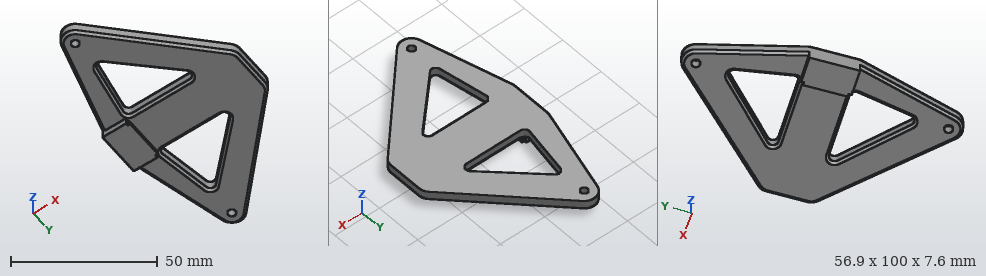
import cadquery as cq
import math

plate_length_x = 56.9
plate_length_y = 100.0
plate_thickness = 4.6
corner_radius = 5.0
bottom_chamfer = 1.0
tip_x = 15.0
tip_y = plate_length_y / 2 - corner_radius
left_corner_y = 8.4
right_corner_y = 7.2
hole_diameter = 3.0

window_radius = 2.0
window_inner_y = 9.0
window_base_y = window_inner_y + window_radius
window_centers = [(12.5, window_base_y), (36.9, window_base_y), (16.1, 31.1)]

total_height = 7.6
block_length = 10.0
block_width = 18.0
lip_reach = 1.0
lip_height = 2.0
lip_end_inset = 1.0


def rounded_polygon(centers, radius, height):
    """Prism around circles centred on a counter-clockwise convex polygon, joined by tangents."""
    tangents = []
    for (x0, y0), (x1, y1) in zip(centers, centers[1:] + centers[:1]):
        length = math.hypot(x1 - x0, y1 - y0)
        normal = ((y1 - y0) / length, -(x1 - x0) / length)
        offset = (radius * normal[0], radius * normal[1])
        start = (x0 + offset[0], y0 + offset[1])
        end = (x1 + offset[0], y1 + offset[1])
        tangents.append((normal, start, end))

    outline = cq.Workplane("XY").moveTo(*tangents[0][1])
    for i, (normal, _, end) in enumerate(tangents):
        next_normal, next_start, _ = tangents[(i + 1) % len(tangents)]
        corner_x, corner_y = centers[(i + 1) % len(centers)]
        middle = (normal[0] + next_normal[0], normal[1] + next_normal[1])
        scale = radius / math.hypot(*middle)
        arc_middle = (corner_x + scale * middle[0], corner_y + scale * middle[1])
        outline = outline.lineTo(*end).threePointArc(arc_middle, next_start)
    return outline.close().extrude(height)


def plate_prism(height):
    """Outer outline of the part, extruded up from Z = 0."""
    left_x = corner_radius
    right_x = plate_length_x - corner_radius
    centers = [
        (tip_x, -tip_y),
        (right_x, -right_corner_y),
        (right_x, right_corner_y),
        (tip_x, tip_y),
        (left_x, left_corner_y),
        (left_x, -left_corner_y),
    ]
    return rounded_polygon(centers, corner_radius, height)


def make_plate():
    """Plate with two mirrored windows, all chamfered along the bottom, and plain tip holes."""
    window = rounded_polygon(window_centers, window_radius, plate_thickness)
    plate = plate_prism(plate_thickness).cut(window).cut(window.mirror("XZ"))
    plate = plate.faces("<Z").chamfer(bottom_chamfer)
    holes = (
        cq.Workplane("XY")
        .pushPoints([(tip_x, -tip_y), (tip_x, tip_y)])
        .circle(hole_diameter / 2)
        .extrude(plate_thickness)
    )
    return plate.cut(holes).translate((0, 0, total_height - plate_thickness))


def make_hook():
    """Block that follows the plate edge, with a sloped lip on its inner face."""
    block = cq.Workplane("XY").box(block_length, block_width, total_height, centered=(False, True, False))
    block = block.intersect(plate_prism(total_height))
    lip_root_x = block_length / 2
    lip_tip = block_length + lip_reach
    lip = (
        cq.Workplane("XZ")
        .polyline([
            (lip_root_x, 0),
            (lip_tip, 0),
            (lip_tip, lip_height - lip_reach),
            (block_length, lip_height),
            (lip_root_x, lip_height),
        ])
        .close()
        .extrude(block_width / 2 - lip_end_inset, both=True)
    )
    return block.union(lip)


result = make_plate().union(make_hook())